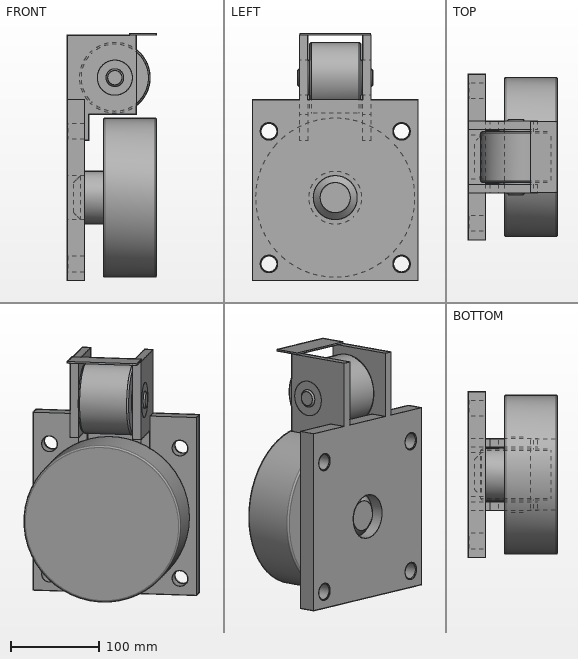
import cadquery as cq

plate_thick = 20.0
plate_width = 188.0
plate_height = 205.0
mount_hole_dia = 18.0
mount_hole_chamfer = 0.98
mount_hole_pitch = 150.0

total_height = 280.0
total_depth = 101.0
cover_thick = 2.0
cover_depth = 30.2
cover_width = 80.0
arm_gap = 62.0
arm_thick = 9.8
arm_depth = 78.5
arm_height = 89.5
tab_depth = 24.5
tab_drop = 29.7
arm_top = total_height - cover_thick
arm_bottom = arm_top - arm_height
fork_width = arm_gap + 2 * arm_thick

wheel_z = 94.0
wheel_radius = 90.2
wheel_width = 60.0
wheel_edge = 2.0
hub_radius = 30.0
shaft_radius = 25.0
shaft_tip_radius = 17.0
shaft_recess = 7.3
wheel_back = total_depth - wheel_width
shaft_cone_length = shaft_radius - shaft_tip_radius

roller_x = 54.0
roller_z = 230.0
roller_radius = 40.0
roller_width = 58.0
roller_edge = 2.0
journal_radius = 20.0
tip_radius = 10.0
tip_length = 2.0


def x_cylinder(radius, x_start, x_end):
    """Cylinder on the wheel axis."""
    return (
        cq.Workplane("YZ", origin=(x_start, 0, wheel_z))
        .circle(radius)
        .extrude(x_end - x_start)
    )


def y_cylinder(radius, length):
    """Cylinder on the roller axis, centred between the arms."""
    return (
        cq.Workplane("XZ", origin=(roller_x, length / 2, roller_z))
        .circle(radius)
        .extrude(length)
    )


def fork_arm(y_start):
    """Side arm with a narrow tab running down the front of the plate."""
    tab_bottom = arm_bottom - tab_drop
    return (
        cq.Workplane("XZ", origin=(0, y_start, 0))
        .moveTo(0, tab_bottom)
        .lineTo(tab_depth, tab_bottom)
        .lineTo(tab_depth, arm_bottom)
        .lineTo(arm_depth, arm_bottom)
        .lineTo(arm_depth, arm_top)
        .lineTo(0, arm_top)
        .close()
        .extrude(-arm_thick)
    )


def drilled_plate():
    """Square-cornered plate with four mounting holes chamfered at the back face."""
    drilled = (
        cq.Workplane("XY")
        .box(plate_thick, plate_width, plate_height, centered=(False, True, False))
        .faces("<X")
        .workplane(origin=(0, 0, wheel_z))
        .rect(mount_hole_pitch, mount_hole_pitch, forConstruction=True)
        .vertices()
        .hole(mount_hole_dia)
    )
    return drilled.faces("<X").edges("%CIRCLE").chamfer(mount_hole_chamfer)


def make_bracket():
    """Plate, fork arms and cover strip, with bores for the wheel shaft and the roller journals."""
    cover = cq.Workplane("XY", origin=(total_depth - cover_depth, 0, arm_top)).box(
        cover_depth, cover_width, cover_thick, centered=(False, True, False)
    )
    body = drilled_plate()
    for y_start in (-fork_width / 2, arm_gap / 2):
        body = body.union(fork_arm(y_start))
    return (
        body.union(cover)
        .cut(x_cylinder(shaft_radius, 0, plate_thick))
        .cut(y_cylinder(journal_radius, fork_width))
    )


def make_wheel():
    """Wheel with its hub and a cone-ended shaft recessed in the plate bore."""
    rim = x_cylinder(wheel_radius, wheel_back, total_depth).edges().fillet(wheel_edge)
    hub = x_cylinder(hub_radius, plate_thick, wheel_back)
    shaft = (
        x_cylinder(shaft_radius, shaft_recess, plate_thick + shaft_cone_length)
        .faces("<X")
        .chamfer(shaft_cone_length)
    )
    return rim.union(hub).union(shaft)


def make_roller():
    """Roller with journals flush with the arms and conical end tips."""
    tread = y_cylinder(roller_radius, roller_width).edges().chamfer(roller_edge)
    journals = y_cylinder(journal_radius, fork_width)
    tips = y_cylinder(tip_radius, fork_width + 2 * tip_length).edges().chamfer(tip_length)
    return tread.union(journals).union(tips)


bracket = make_bracket()
wheel = make_wheel()
roller = make_roller()

result = cq.Compound.makeCompound([bracket.val(), wheel.val(), roller.val()])